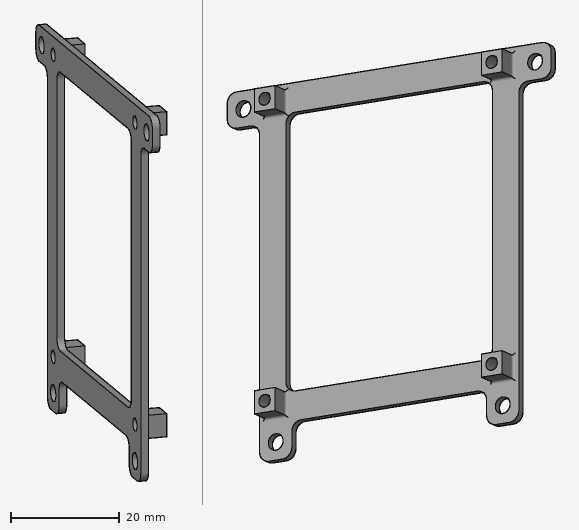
import cadquery as cq

overall_width = 70.0
overall_height = 72.0
plate_thickness = 1.5
total_depth = 5.5
tab_size = 7.0
corner_radius = 2.0

mount_hole_diameter = 3.2
post_hole_diameter = 2.45
post_size = 4.5
post_fillet = 0.5

top = overall_height / 2
bottom = -top
half_width = overall_width / 2
half_body = half_width - tab_size
hole_inset = tab_size / 2

post_x = half_body - hole_inset
upper_post_z = top - hole_inset
lower_post_z = bottom + tab_size + hole_inset
post_centres = [(x, z) for x in (-post_x, post_x) for z in (lower_post_z, upper_post_z)]

window_width = 2 * post_x - post_size
window_height = upper_post_z - lower_post_z - post_size
window_z = (upper_post_z + lower_post_z) / 2


def plate_block(width, height, centre_x, centre_z):
    """Plate-thick block centred at the given X and Z."""
    block = cq.Workplane("XY").box(width, plate_thickness, height)
    return block.translate((centre_x, plate_thickness / 2, centre_z))


def drill(diameter, centres):
    """Cylinders along Y running through the full depth of the part."""
    return cq.Workplane("XZ").pushPoints(centres).circle(diameter / 2).extrude(-total_depth)


def make_plate():
    """Open frame with two side tabs at the top and two legs at the bottom."""
    body_height = overall_height - tab_size
    plate = plate_block(overall_width, tab_size, 0, upper_post_z)
    plate = plate.union(plate_block(2 * half_body, body_height, 0, tab_size / 2))
    for x in (-post_x, post_x):
        plate = plate.union(plate_block(tab_size, 2 * tab_size, x, bottom + tab_size))
    plate = plate.clean()
    plate = plate.cut(plate_block(window_width, window_height, 0, window_z))
    return plate.edges("|Y").fillet(corner_radius)


def add_posts(plate):
    """Square posts on the back face, blended into the plate at their roots."""
    posts = (
        cq.Workplane("XZ")
        .pushPoints(post_centres)
        .rect(post_size, post_size)
        .extrude(-total_depth)
    )
    part = plate.union(posts)
    for x, z in post_centres:
        reach = post_size / 2 + post_fillet / 2
        root = cq.selectors.BoxSelector(
            (x - reach, plate_thickness - post_fillet / 2, z - reach),
            (x + reach, plate_thickness + post_fillet / 2, z + reach),
        )
        part = part.edges(root).fillet(post_fillet)
    return part


side_hole_x = half_width - hole_inset
leg_hole_z = bottom + hole_inset
mount_centres = [
    (-side_hole_x, upper_post_z),
    (side_hole_x, upper_post_z),
    (-post_x, leg_hole_z),
    (post_x, leg_hole_z),
]

result = (
    add_posts(make_plate())
    .cut(drill(mount_hole_diameter, mount_centres))
    .cut(drill(post_hole_diameter, post_centres))
)